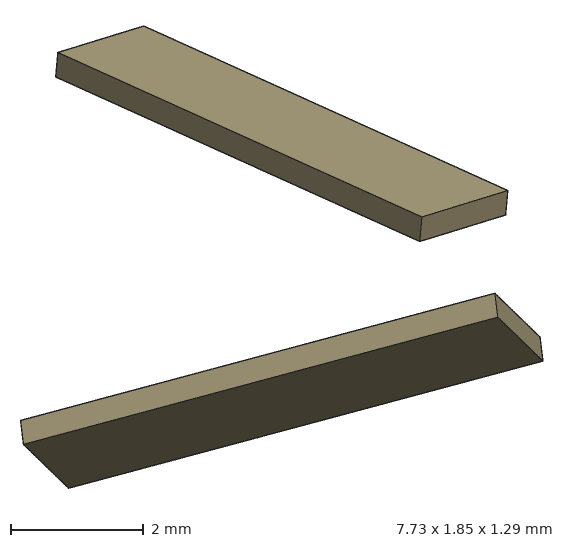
import cadquery as cq
import math

span_x = 7.73
width = 1.85
thickness = 0.4
tilt = 6.6

tilt_rad = math.radians(tilt)
length = (span_x - thickness * math.sin(tilt_rad)) / math.cos(tilt_rad)

plate = cq.Workplane("XY").box(length, width, thickness)
result = plate.rotate((0, 0, 0), (0, 1, 0), tilt)